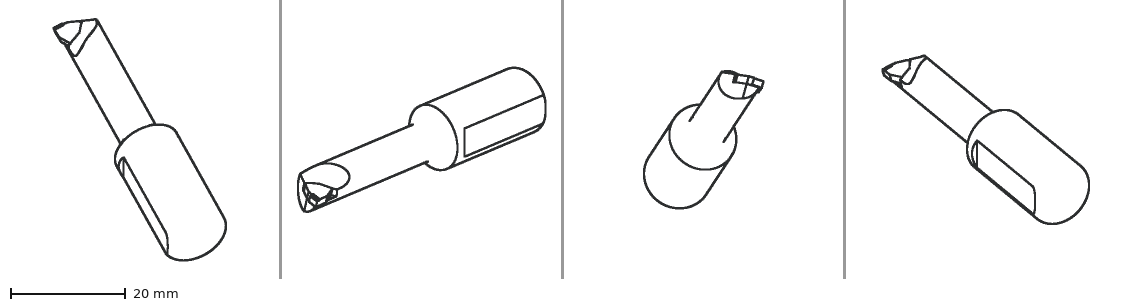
import cadquery as cq
import math

total_length = 55.0
shank_radius = 12.0 / 2
neck_radius = 7.0 / 2
shank_start = 32.55
shoulder_fillet = 2.0
end_fillet = 1.0

flat_start = 35.0
flat_distance = 5.35

roll_angle = 15.0
seat_height = 1.05
tool_reach = 22.0

ridge_x = 0.45
ridge_y = -1.2
back_face_angle = 26.5
front_face_angle = 4.0

gullet_x = 2.3
gullet_y = 2.3
gullet_angle = 35.0
gullet_radius = 3.0

insert_thickness = 1.5
nose_y = -3.9
nose_top_y = -2.15
nose_end = (2.55, -3.85)
rear_shoulder = (4.5, -2.85)
rear_corner = (4.9, -2.7)
rear_flank = (3.65, -0.35)
top_corner_y = 1.05
corner_flat_y = 0.65
corner_flat_width = 0.45
corner_relief = 0.2
nose_step_x = 0.35
land_width = 0.6
land_floor_width = 0.45
land_depth = 0.2
pocket_mouth = (5.95, -4.2)


def roll(body):
    """Turn a level tip feature to its final angle about the X axis."""
    return body.rotate((0, 0, 0), (1, 0, 0), roll_angle)


def back_face_x(y):
    """X of the slanted end face at a given level Y."""
    return ridge_x + (y - ridge_y) * math.tan(math.radians(back_face_angle))


def make_blank():
    """Neck, filleted shoulder and shank with a rounded rear edge."""
    bend = math.radians(45)
    half_bend = bend / 2
    fillet_end_radius = neck_radius + shoulder_fillet * (1 - math.cos(bend))
    fillet_end_x = shank_start - (shank_radius - fillet_end_radius)
    fillet_start_x = fillet_end_x - shoulder_fillet * math.sin(bend)
    fillet_middle = (
        fillet_start_x + shoulder_fillet * math.sin(half_bend),
        neck_radius + shoulder_fillet * (1 - math.cos(half_bend)),
    )
    profile = (
        cq.Workplane("XY")
        .lineTo(0, neck_radius)
        .lineTo(fillet_start_x, neck_radius)
        .threePointArc(fillet_middle, (fillet_end_x, fillet_end_radius))
        .lineTo(shank_start, shank_radius)
        .lineTo(total_length, shank_radius)
        .lineTo(total_length, 0)
        .close()
    )
    blank = profile.revolve(360, (0, 0, 0), (1, 0, 0))
    return blank.faces(">X").edges().fillet(end_fillet)


def make_flat_cutter():
    """Flat with a 45 degree run-out at its front end."""
    depth = shank_radius - flat_distance
    return (
        cq.Workplane("XY")
        .moveTo(flat_start, -flat_distance)
        .lineTo(total_length, -flat_distance)
        .lineTo(total_length, -shank_radius)
        .lineTo(flat_start - depth, -shank_radius)
        .close()
        .extrude(shank_radius, both=True)
    )


def make_end_cutter():
    """Material removed in front of the two end faces."""
    far_y = 2 * neck_radius
    front_x = ridge_x - (far_y + ridge_y) * math.tan(math.radians(front_face_angle))
    cutter = (
        cq.Workplane("XY")
        .polyline([
            (ridge_x, ridge_y),
            (back_face_x(far_y), far_y),
            (-tool_reach, far_y),
            (-tool_reach, -far_y),
            (front_x, -far_y),
        ])
        .close()
        .extrude(tool_reach, both=True)
    )
    return roll(cutter)


def make_gullet_cutter():
    """Everything above the rake face, up to the quarter-round wall."""
    angle = math.radians(gullet_angle)
    wall_normal = (math.cos(angle), math.sin(angle), 0)
    wall_direction = (math.sin(angle), -math.cos(angle), 0)
    section = cq.Plane((gullet_x, gullet_y, seat_height), wall_normal, wall_direction)
    arc_middle = (
        gullet_radius * math.sin(math.pi / 4),
        gullet_radius * (1 - math.cos(math.pi / 4)),
    )
    cutter = (
        cq.Workplane(section)
        .moveTo(-tool_reach, 0)
        .lineTo(0, 0)
        .threePointArc(arc_middle, (gullet_radius, gullet_radius))
        .lineTo(gullet_radius, 2 * gullet_radius)
        .lineTo(-tool_reach, 2 * gullet_radius)
        .close()
        .extrude(tool_reach, both=True)
    )
    return roll(cutter)


def make_insert():
    """Three-cornered insert with bent sides and a square cutting nose."""
    outline = [
        (0, nose_y),
        nose_end,
        rear_shoulder,
        rear_corner,
        rear_flank,
        (back_face_x(corner_flat_y) + corner_flat_width, top_corner_y - corner_relief),
        (back_face_x(corner_flat_y), corner_flat_y),
        (ridge_x, ridge_y),
        (nose_step_x, nose_top_y),
        (0, nose_top_y),
    ]
    body = (
        cq.Workplane("XY")
        .workplane(offset=seat_height - insert_thickness)
        .polyline(outline)
        .close()
        .extrude(insert_thickness)
    )
    land = (
        cq.Workplane("XZ")
        .polyline([
            (0, seat_height),
            (land_width, seat_height),
            (land_floor_width, seat_height - land_depth),
            (0, seat_height - land_depth),
        ])
        .close()
        .extrude(nose_top_y - nose_y)
    )
    return roll(body.cut(land.translate((0, nose_top_y, 0))))


def make_pocket_cutter():
    """Insert seat, opened towards -Y and the tip, with clearance behind the rear corner."""
    top_corner = (back_face_x(top_corner_y), top_corner_y)
    cutter = (
        cq.Workplane("XY")
        .workplane(offset=seat_height - insert_thickness)
        .polyline([
            top_corner,
            rear_flank,
            rear_corner,
            pocket_mouth,
            (-ridge_x, pocket_mouth[1]),
            (-ridge_x, top_corner_y),
        ])
        .close()
        .extrude(insert_thickness)
    )
    return roll(cutter)


holder = (
    make_blank()
    .cut(make_flat_cutter())
    .cut(make_end_cutter())
    .cut(make_gullet_cutter())
    .cut(make_pocket_cutter())
)
insert = make_insert()

result = cq.Compound.makeCompound([holder.val(), insert.val()])